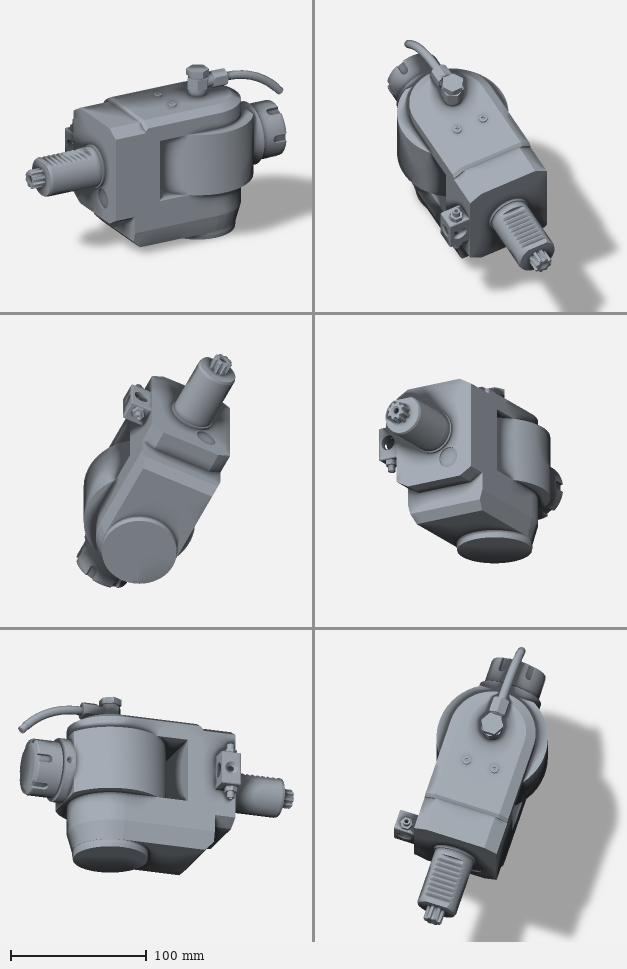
import cadquery as cq
import math


HALF_WIDTH = 32.0
CHAMFER_SLOPE = math.tan(math.radians(30))
TOP_Z = 40.0
TOP_FLAT_HALF = 25.0
TOP_FRONT_Y = -61.4
TOP_BEVEL_LENGTH = 2.5
TOP_BEVEL_DROP = 2.0
SHOULDER_Z = TOP_Z - (HALF_WIDTH - TOP_FLAT_HALF) * CHAMFER_SLOPE

FLANGE_Y = -86.4
FLANGE_HALF_HEIGHT = 38.0
FLANGE_FLAT_HALF = 22.4
FLANGE_SHOULDER_Z = FLANGE_HALF_HEIGHT - (HALF_WIDTH - FLANGE_FLAT_HALF) * CHAMFER_SLOPE

LOWER_FRONT_Y = -70.3
TAPER_TOP_Z = -45.5
TAPER_BOTTOM_Z = -59.3
TAPER_HALF_WIDTH = 28.2
LOWER_CHAMFER = 6.3

BASE_RADIUS = 28.0
BASE_BOTTOM_Z = -64.9
BASE_BEVEL_HEIGHT = 3.1
BASE_BEVEL_INSET = 0.5

WINDOW_HALF_HEIGHT = 24.0
WINDOW_FRONT_Y = -49.3
DRUM_RADIUS = 41.0
DRUM_FLAT_Y = 35.5

COLLAR_RADIUS = 23.7
COLLAR_END_Y = 43.1
NECK_RADIUS = 17.4
NUT_START_Y = 44.3
NUT_BEVEL_Y = 62.2
NUT_RIM_Y = 63.4
NUT_END_Y = 64.6
NUT_RADIUS = 21.0
NUT_RIM_RADIUS = 20.6
NUT_FACE_RADIUS = 16.0
NUT_SLOT_COUNT = 6
NUT_SLOT_WIDTH = 6.0
NUT_SLOT_END_Y = 52.3
NUT_SLOT_FLOOR_RADIUS = 18.0
PIN_HOLE_RADIUS = 2.8
PIN_HOLE_Y = 39.4
PIN_HOLE_FLOOR_RADIUS = 1.0
PIN_HOLE_DEPTH = 2.5

SHANK_RADIUS = 15.0
SHANK_END_Y = -131.3
SHANK_BEVEL_LENGTH = 2.0
SHANK_BEVEL_INSET = 0.7
SHANK_COLLAR_RADIUS = 16.2
SHANK_COLLAR_LENGTH = 2.0
RACK_START_Y = -93.4
RACK_Z = 12.1
RACK_DEPTH = 1.8
RACK_GROOVE_HALF = 1.7
RACK_PITCH = 4.0
RACK_COUNT = 8
RACK_FIRST_Y = -97.7

SPLINE_END_Y = -141.1
SPLINE_TEETH = 8
SPLINE_TIP_RADIUS = 7.1
SPLINE_ROOT_RADIUS = 5.3
SPLINE_BEVEL = 0.7
SPLINE_TIP_HALF_ANGLE = 8.0
SPLINE_ROOT_HALF_ANGLE = 14.0
CENTRE_HOLE_RADIUS = 2.2
CENTRE_HOLE_DEPTH = 8.0
CENTRE_SINK_RADIUS = 3.5

PORT_X = 12.5
PORT_Z = -21.6
PORT_RADIUS = 7.6
PORT_DEPTH = 1.0

BLOCK_LEFT_X = -48.0
BLOCK_CENTRE_Y = -77.8
BLOCK_LENGTH = 15.0
BLOCK_HEIGHT = 25.0
BLOCK_BEVEL = 0.6
BLOCK_BORE_X = -40.0
BLOCK_BORE_RADIUS = 5.6
SIDE_SINK_RADIUS = 4.9
SIDE_BORE_RADIUS = 2.0
NIPPLE_Y = -79.8
NIPPLE_HEX_FLATS = 8.2
NIPPLE_HEX_HEIGHT = 3.8
NIPPLE_RADIUS = 2.7
NIPPLE_HEIGHT = 8.4
NIPPLE_HOLE_RADIUS = 1.5

BANJO_STEM_RADIUS = 6.7
BANJO_RING_RADIUS = 7.1
BANJO_RING_BOTTOM_Z = 42.0
BANJO_BODY_BOTTOM_Z = 45.2
BANJO_BODY_TOP_Z = 53.4
BANJO_BODY_FLATS = 14.4
BANJO_BODY_RADIUS = 8.15
BOLT_HEAD_BOTTOM_Z = 55.3
BOLT_HEAD_TOP_Z = 60.0
BOLT_HEAD_FLATS = 14.7
HOSE_Z = 49.0
HOSE_NECK_RADIUS = 5.2
HOSE_NUT_START_Y = 10.9
HOSE_NUT_END_Y = 22.5
HOSE_NUT_FLATS = 12.0
HOSE_NUT_BEVEL_LENGTH = 1.0
HOSE_NUT_BEVEL_INSET = 0.7
HOSE_RADIUS = 3.2
HOSE_BEND_START_Y = 25.0
HOSE_BEND_RADIUS = 56.7
HOSE_BEND_ANGLE = math.radians(46)
HOSE_TIP_RADIUS = 2.9
HOSE_TIP_LENGTH = 5.3

SCREW_X = 10.8
SCREW_Y = -27.2
SCREW_RADIUS = 3.0
SCREW_HEIGHT = 1.5
SCREW_BEVEL = 0.3
SCREW_SOCKET_FLATS = 3.0
SCREW_SOCKET_DEPTH = 1.2

OVERLAP = 0.5


def cylinder_z(x, y, radius, z_low, z_high):
    return cq.Workplane("XY", origin=(x, y, z_low)).circle(radius).extrude(z_high - z_low)


def cylinder_y(x, z, radius, y_low, y_high):
    return cq.Workplane("XZ", origin=(x, y_high, z)).circle(radius).extrude(y_high - y_low)


def box(x_low, x_high, y_low, y_high, z_low, z_high):
    size = (x_high - x_low, y_high - y_low, z_high - z_low)
    return cq.Workplane("XY").box(*size, centered=False).translate((x_low, y_low, z_low))


def turned_y(profile):
    """Solid of revolution about the Y axis from (radius, y) points."""
    return cq.Workplane("XY").polyline(profile).close().revolve(360, (0, 0, 0), (0, 1, 0))


def turned_x(y, profile):
    """Solid of revolution from (x, radius) points about the line along X at height 0."""
    plane = cq.Workplane("XY", origin=(0, y, 0))
    return plane.polyline(profile).close().revolve(360, (0, 0, 0), (1, 0, 0))


def hexagon(flats, corner_angle):
    """Hexagon corners with the first corner at corner_angle degrees."""
    radius = flats / math.sqrt(3)
    angles = [math.radians(corner_angle + 60 * i) for i in range(6)]
    return [(radius * math.cos(a), radius * math.sin(a)) for a in angles]


def hex_z(x, y, flats, corner_angle, z_low, z_high):
    plane = cq.Workplane("XY", origin=(x, y, z_low))
    return plane.polyline(hexagon(flats, corner_angle)).close().extrude(z_high - z_low)


def round_ended(half_section, front_y):
    """Section with straight sides from front_y to the Z axis, then turned into a round end.

    half_section lists (half width, z) from the Z axis outwards and back to it.
    """
    outline = half_section + [(-x, z) for x, z in reversed(half_section) if x > 0]
    straight = cq.Workplane("XZ").polyline(outline).close().extrude(-front_y)
    round_end = (
        cq.Workplane("XZ").polyline(half_section).close().revolve(360, (0, 0, 0), (0, 1, 0))
    )
    return straight.union(round_end)


def front_edge_outline(drop):
    """Cross-section of the upper housing, its bevels and top lowered by drop."""
    return [
        (-HALF_WIDTH, 0),
        (-HALF_WIDTH, SHOULDER_Z - drop),
        (-TOP_FLAT_HALF, TOP_Z - drop),
        (TOP_FLAT_HALF, TOP_Z - drop),
        (HALF_WIDTH, SHOULDER_Z - drop),
        (HALF_WIDTH, 0),
    ]


def make_upper_housing():
    """Round-ended upper half with a bevelled rim, its front edge eased downwards."""
    bevel_start_y = TOP_FRONT_Y + TOP_BEVEL_LENGTH
    half_section = [
        (0, 0),
        (HALF_WIDTH, 0),
        (HALF_WIDTH, SHOULDER_Z),
        (TOP_FLAT_HALF, TOP_Z),
        (0, TOP_Z),
    ]
    eased_front = (
        cq.Workplane("XZ", origin=(0, bevel_start_y, 0))
        .polyline(front_edge_outline(0)).close()
        .workplane(offset=TOP_BEVEL_LENGTH)
        .polyline(front_edge_outline(TOP_BEVEL_DROP)).close()
        .loft(ruled=True)
    )
    return round_ended(half_section, bevel_start_y).union(eased_front)


def make_lower_housing():
    """Round-ended lower half, tapered towards the round base plate."""
    half_section = [
        (0, 0),
        (HALF_WIDTH, 0),
        (HALF_WIDTH, TAPER_TOP_Z),
        (TAPER_HALF_WIDTH, TAPER_BOTTOM_Z),
        (0, TAPER_BOTTOM_Z),
    ]
    front_corner = (
        cq.Workplane("YZ", origin=(-HALF_WIDTH, 0, 0))
        .polyline([
            (LOWER_FRONT_Y, TAPER_BOTTOM_Z),
            (LOWER_FRONT_Y + LOWER_CHAMFER, TAPER_BOTTOM_Z),
            (LOWER_FRONT_Y, TAPER_BOTTOM_Z + LOWER_CHAMFER),
        ])
        .close()
        .extrude(2 * HALF_WIDTH)
    )
    base = cylinder_z(0, 0, BASE_RADIUS, BASE_BOTTOM_Z, TAPER_BOTTOM_Z + OVERLAP)
    base = base.faces("<Z").edges().chamfer(BASE_BEVEL_HEIGHT, BASE_BEVEL_INSET)
    return round_ended(half_section, LOWER_FRONT_Y).cut(front_corner).union(base)


def make_flange():
    """Block behind the shank, with its four long edges bevelled."""
    upper = [
        (HALF_WIDTH, FLANGE_SHOULDER_Z),
        (FLANGE_FLAT_HALF, FLANGE_HALF_HEIGHT),
        (-FLANGE_FLAT_HALF, FLANGE_HALF_HEIGHT),
        (-HALF_WIDTH, FLANGE_SHOULDER_Z),
    ]
    lower = [(-x, -z) for x, z in upper]
    block = (
        cq.Workplane("XZ", origin=(0, WINDOW_FRONT_Y, 0))
        .polyline(upper + lower).close()
        .extrude(WINDOW_FRONT_Y - FLANGE_Y)
    )
    port = cylinder_y(PORT_X, PORT_Z, PORT_RADIUS, FLANGE_Y, FLANGE_Y + PORT_DEPTH)
    return block.cut(port)


def make_window():
    return box(
        -HALF_WIDTH, HALF_WIDTH,
        WINDOW_FRONT_Y, HALF_WIDTH,
        -WINDOW_HALF_HEIGHT, WINDOW_HALF_HEIGHT,
    )


def make_drum():
    drum = cylinder_z(0, 0, DRUM_RADIUS, -WINDOW_HALF_HEIGHT, WINDOW_HALF_HEIGHT)
    beyond_flat = box(
        -DRUM_RADIUS, DRUM_RADIUS,
        DRUM_FLAT_Y, DRUM_RADIUS,
        -WINDOW_HALF_HEIGHT, WINDOW_HALF_HEIGHT,
    )
    return drum.cut(beyond_flat)


def make_nut_slot():
    """Round-ended wrench slot on the +X side of the nut."""
    half = NUT_SLOT_WIDTH / 2
    arc_y = NUT_SLOT_END_Y + half
    return (
        cq.Workplane("YZ", origin=(NUT_SLOT_FLOOR_RADIUS, 0, 0))
        .moveTo(NUT_END_Y, -half)
        .lineTo(arc_y, -half)
        .threePointArc((NUT_SLOT_END_Y, 0), (arc_y, half))
        .lineTo(NUT_END_Y, half)
        .close()
        .extrude(NUT_RADIUS)
    )


def make_tool_spindle():
    spindle = turned_y([
        (0, DRUM_FLAT_Y - OVERLAP),
        (COLLAR_RADIUS, DRUM_FLAT_Y - OVERLAP),
        (COLLAR_RADIUS, COLLAR_END_Y),
        (NECK_RADIUS, COLLAR_END_Y),
        (NECK_RADIUS, NUT_START_Y),
        (NUT_RADIUS, NUT_START_Y),
        (NUT_RADIUS, NUT_BEVEL_Y),
        (NUT_RIM_RADIUS, NUT_RIM_Y),
        (NUT_FACE_RADIUS, NUT_END_Y),
        (0, NUT_END_Y),
    ])
    slot = make_nut_slot()
    for index in range(NUT_SLOT_COUNT):
        spindle = spindle.cut(slot.rotate((0, 0, 0), (0, 1, 0), index * 360 / NUT_SLOT_COUNT))
    pin_hole = turned_x(PIN_HOLE_Y, [
        (-COLLAR_RADIUS, 0),
        (-COLLAR_RADIUS, PIN_HOLE_RADIUS),
        (-COLLAR_RADIUS + PIN_HOLE_DEPTH, PIN_HOLE_FLOOR_RADIUS),
        (-COLLAR_RADIUS + PIN_HOLE_DEPTH, 0),
    ])
    return spindle.cut(pin_hole)


def make_shank():
    collar_y = FLANGE_Y - SHANK_COLLAR_LENGTH
    shank = turned_y([
        (0, FLANGE_Y),
        (SHANK_COLLAR_RADIUS, FLANGE_Y),
        (SHANK_COLLAR_RADIUS, collar_y),
        (SHANK_RADIUS, collar_y),
        (SHANK_RADIUS, SHANK_END_Y + SHANK_BEVEL_LENGTH),
        (SHANK_RADIUS - SHANK_BEVEL_INSET, SHANK_END_Y),
        (0, SHANK_END_Y),
    ])
    shank = shank.cut(box(
        -SHANK_RADIUS, SHANK_RADIUS, SHANK_END_Y, RACK_START_Y, RACK_Z, SHANK_RADIUS
    ))
    for index in range(RACK_COUNT):
        valley_y = RACK_FIRST_Y - index * RACK_PITCH
        groove = (
            cq.Workplane("YZ", origin=(-SHANK_RADIUS, 0, 0))
            .polyline([
                (valley_y - RACK_GROOVE_HALF, RACK_Z),
                (valley_y, RACK_Z - RACK_DEPTH),
                (valley_y + RACK_GROOVE_HALF, RACK_Z),
            ])
            .close()
            .extrude(2 * SHANK_RADIUS)
        )
        shank = shank.cut(groove)
    return shank


def polar(radius, degrees):
    angle = math.radians(degrees)
    return (radius * math.cos(angle), radius * math.sin(angle))


def make_spline():
    pitch = 360 / SPLINE_TEETH
    outline = []
    for tooth in range(SPLINE_TEETH):
        centre = (tooth + 0.5) * pitch
        outline.append(polar(SPLINE_ROOT_RADIUS, centre - SPLINE_ROOT_HALF_ANGLE))
        outline.append(polar(SPLINE_TIP_RADIUS, centre - SPLINE_TIP_HALF_ANGLE))
        outline.append(polar(SPLINE_TIP_RADIUS, centre + SPLINE_TIP_HALF_ANGLE))
        outline.append(polar(SPLINE_ROOT_RADIUS, centre + SPLINE_ROOT_HALF_ANGLE))
    teeth = (
        cq.Workplane("XZ", origin=(0, SHANK_END_Y, 0))
        .polyline(outline).close()
        .extrude(SHANK_END_Y - SPLINE_END_Y)
    )
    envelope = cylinder_y(0, 0, SPLINE_TIP_RADIUS, SPLINE_END_Y, SHANK_END_Y)
    envelope = envelope.faces("<Y").edges().chamfer(SPLINE_BEVEL)
    sink_depth = CENTRE_SINK_RADIUS - CENTRE_HOLE_RADIUS
    centre_hole = turned_y([
        (0, SPLINE_END_Y),
        (CENTRE_SINK_RADIUS, SPLINE_END_Y),
        (CENTRE_HOLE_RADIUS, SPLINE_END_Y + sink_depth),
        (CENTRE_HOLE_RADIUS, SPLINE_END_Y + CENTRE_HOLE_DEPTH),
        (0, SPLINE_END_Y + CENTRE_HOLE_DEPTH),
    ])
    return teeth.intersect(envelope).cut(centre_hole)


def make_coolant_block():
    half_length = BLOCK_LENGTH / 2
    half_height = BLOCK_HEIGHT / 2
    front_y = BLOCK_CENTRE_Y - half_length
    rear_y = BLOCK_CENTRE_Y + half_length
    block = box(BLOCK_LEFT_X, -HALF_WIDTH, front_y, rear_y, -half_height, half_height)
    block = block.edges("(<X and <Y) or (<X and |Y) or (<Y and |X)").chamfer(BLOCK_BEVEL)
    long_bore = cylinder_y(BLOCK_BORE_X, 0, BLOCK_BORE_RADIUS, front_y, rear_y)
    sink_depth = SIDE_SINK_RADIUS - SIDE_BORE_RADIUS
    side_bore = turned_x(BLOCK_CENTRE_Y, [
        (BLOCK_LEFT_X, 0),
        (BLOCK_LEFT_X, SIDE_SINK_RADIUS),
        (BLOCK_LEFT_X + sink_depth, SIDE_BORE_RADIUS),
        (BLOCK_BORE_X, SIDE_BORE_RADIUS),
        (BLOCK_BORE_X, 0),
    ])
    block = block.cut(long_bore).cut(side_bore)

    hex_top = half_height + NIPPLE_HEX_HEIGHT
    nipple = hex_z(BLOCK_BORE_X, NIPPLE_Y, NIPPLE_HEX_FLATS, 0, half_height, hex_top)
    tip_z = half_height + NIPPLE_HEIGHT
    tip = cylinder_z(BLOCK_BORE_X, NIPPLE_Y, NIPPLE_RADIUS, half_height, tip_z)
    nipple = nipple.union(tip)
    nipple_hole = cylinder_z(BLOCK_BORE_X, NIPPLE_Y, NIPPLE_HOLE_RADIUS, -tip_z, tip_z)
    return block.union(nipple).union(nipple.mirror("XY")).cut(nipple_hole)


def make_banjo_fitting():
    stem = cylinder_z(0, 0, BANJO_STEM_RADIUS, TOP_Z, BOLT_HEAD_BOTTOM_Z)
    ring = cylinder_z(0, 0, BANJO_RING_RADIUS, BANJO_RING_BOTTOM_Z, BANJO_BODY_BOTTOM_Z)
    body = hex_z(0, 0, BANJO_BODY_FLATS, 90, BANJO_BODY_BOTTOM_Z, BANJO_BODY_TOP_Z)
    body = body.intersect(
        cylinder_z(0, 0, BANJO_BODY_RADIUS, BANJO_BODY_BOTTOM_Z, BANJO_BODY_TOP_Z)
    )
    head = hex_z(0, 0, BOLT_HEAD_FLATS, 0, BOLT_HEAD_BOTTOM_Z, BOLT_HEAD_TOP_Z)
    return stem.union(ring).union(body).union(head)


def make_hose():
    neck = cylinder_y(0, HOSE_Z, HOSE_NECK_RADIUS, 0, HOSE_NUT_START_Y)
    nut = (
        cq.Workplane("XZ", origin=(0, HOSE_NUT_END_Y, HOSE_Z))
        .polyline(hexagon(HOSE_NUT_FLATS, 90)).close()
        .extrude(HOSE_NUT_END_Y - HOSE_NUT_START_Y)
    )
    corner_radius = HOSE_NUT_FLATS / math.sqrt(3)
    nut_envelope = cylinder_y(0, HOSE_Z, corner_radius, HOSE_NUT_START_Y, HOSE_NUT_END_Y)
    nut_envelope = nut_envelope.edges("%CIRCLE").chamfer(HOSE_NUT_BEVEL_LENGTH, HOSE_NUT_BEVEL_INSET)
    nut = nut.intersect(nut_envelope)

    def bend_point(angle):
        y = HOSE_BEND_START_Y + HOSE_BEND_RADIUS * math.sin(angle)
        z = HOSE_Z - HOSE_BEND_RADIUS * (1 - math.cos(angle))
        return (y, z)

    path = (
        cq.Workplane("YZ")
        .moveTo(HOSE_NUT_END_Y - OVERLAP, HOSE_Z)
        .lineTo(HOSE_BEND_START_Y, HOSE_Z)
        .threePointArc(bend_point(HOSE_BEND_ANGLE / 2), bend_point(HOSE_BEND_ANGLE))
    )
    tube = (
        cq.Workplane("XZ", origin=(0, HOSE_NUT_END_Y - OVERLAP, HOSE_Z))
        .circle(HOSE_RADIUS)
        .sweep(path)
    )
    tip_y, tip_z = bend_point(HOSE_BEND_ANGLE)
    tip_plane = cq.Plane(
        origin=(0, tip_y, tip_z),
        xDir=(1, 0, 0),
        normal=(0, math.cos(HOSE_BEND_ANGLE), -math.sin(HOSE_BEND_ANGLE)),
    )
    tip = cq.Workplane(tip_plane).circle(HOSE_TIP_RADIUS).extrude(HOSE_TIP_LENGTH)
    return neck.union(nut).union(tube).union(tip)


def make_top_screw(x):
    top_z = TOP_Z + SCREW_HEIGHT
    head = cylinder_z(x, SCREW_Y, SCREW_RADIUS, TOP_Z, top_z)
    head = head.faces(">Z").edges().chamfer(SCREW_BEVEL)
    socket = hex_z(x, SCREW_Y, SCREW_SOCKET_FLATS, 0, top_z - SCREW_SOCKET_DEPTH, top_z)
    return head.cut(socket)


housing = make_upper_housing().union(make_lower_housing()).union(make_flange())
result = housing.cut(make_window()).union(make_drum())
result = result.union(make_tool_spindle())
result = result.union(make_shank()).union(make_spline())
result = result.union(make_coolant_block())
result = result.union(make_banjo_fitting()).union(make_hose())
for screw_x in (-SCREW_X, SCREW_X):
    result = result.union(make_top_screw(screw_x))